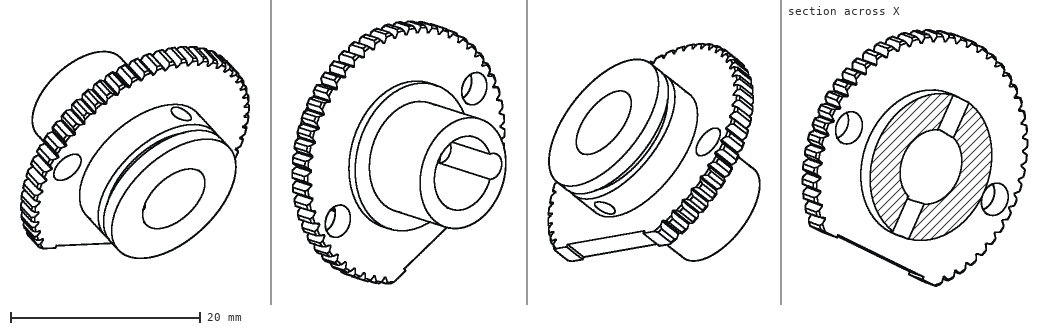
import cadquery as cq
import math


total_length = 17.7
flange_width = 1.5
groove_width = 1.0
gear_gap = 3.47
gear_width = 2.5
shoulder_width = 1.0

flange_start = total_length - flange_width
groove_start = flange_start - groove_width
gear_end = groove_start - gear_gap
gear_start = gear_end - gear_width
sleeve_length = gear_start - shoulder_width

gear_diameter = 28
hub_diameter = 16.0
sleeve_diameter = 12.0
groove_diameter = 13.8
bore_diameter = 8.0

gear_radius = gear_diameter / 2
bore_radius = bore_diameter / 2

gap_count = 42
pitch_angle = 6.7
root_radius = 13.25
root_width = 0.15
gap_tip_width = 1.1
tip_chamfer = 0.25

flat_angle = -120
flat_distance = 11.0
relief_distance = 10.7
relief_length = 12.88

pin_hole_diameter = 3.5
pin_circle_radius = 11.0
pin_hole_angles = (150, -30)
cross_hole_diameter = 2.32
cross_hole_x = 13.33
key_slot_width = 2.8
key_slot_depth = sleeve_length


def profile_plane(x):
    """Plane normal to the axis at x; its local axes are +Y and +Z."""
    return cq.Workplane("YZ", origin=(x, 0, 0))


def cylinder(start, end, diameter):
    return profile_plane(start).circle(diameter / 2).extrude(end - start)


def make_hub():
    hub = cylinder(0, total_length, sleeve_diameter)
    hub = hub.union(cylinder(sleeve_length, groove_start, hub_diameter))
    hub = hub.union(cylinder(groove_start, flange_start, groove_diameter))
    return hub.union(cylinder(flange_start, total_length, hub_diameter))


def flat_cutter(distance, length):
    """Block lying beyond the given distance from the axis, on the flat's side."""
    block = cq.Workplane("XY").box(gear_width, gear_radius, length, centered=(False, False, True))
    return block.translate((gear_start, distance, 0)).rotate((0, 0, 0), (1, 0, 0), flat_angle)


def tooth_gap_cutter():
    """Trapezoidal prism between two teeth, at the +Y side, carried past the tips."""
    tip_height = math.sqrt(gear_radius**2 - (gap_tip_width / 2) ** 2)
    flank_slope = (gap_tip_width - root_width) / 2 / (tip_height - root_radius)
    outer_radius = 2 * gear_radius - root_radius
    outer_half = root_width / 2 + flank_slope * (outer_radius - root_radius)
    outline = [
        (root_radius, -root_width / 2),
        (outer_radius, -outer_half),
        (outer_radius, outer_half),
        (root_radius, root_width / 2),
    ]
    return profile_plane(gear_start).polyline(outline).close().extrude(gear_width)


def make_gear():
    gear = cylinder(gear_start, gear_end, gear_diameter).edges().chamfer(tip_chamfer)
    gear = gear.cut(flat_cutter(flat_distance, gear_diameter))
    gear = gear.cut(flat_cutter(relief_distance, relief_length))

    first_angle = flat_angle + 180 - (gap_count - 1) / 2 * pitch_angle
    gap = tooth_gap_cutter()
    for i in range(gap_count):
        gear = gear.cut(gap.rotate((0, 0, 0), (1, 0, 0), first_angle + i * pitch_angle))

    for angle in pin_hole_angles:
        y = pin_circle_radius * math.cos(math.radians(angle))
        z = pin_circle_radius * math.sin(math.radians(angle))
        pin_hole = cylinder(gear_start, gear_end, pin_hole_diameter).translate((0, y, z))
        gear = gear.cut(pin_hole)
    return gear


def cross_hole_cutter():
    """Radial hole through both hub walls, square to the flat."""
    hole = cq.Workplane("XZ").circle(cross_hole_diameter / 2).extrude(hub_diameter / 2, both=True)
    return hole.translate((cross_hole_x, 0, 0)).rotate((0, 0, 0), (1, 0, 0), flat_angle)


def key_slot_cutter():
    """Blind round slot in the -Y side of the bore, open at the sleeve end."""
    return cylinder(0, key_slot_depth, key_slot_width).translate((0, -bore_radius, 0))


result = make_hub().union(make_gear())
result = result.cut(cylinder(0, total_length, bore_diameter))
result = result.cut(cross_hole_cutter())
result = result.cut(key_slot_cutter())